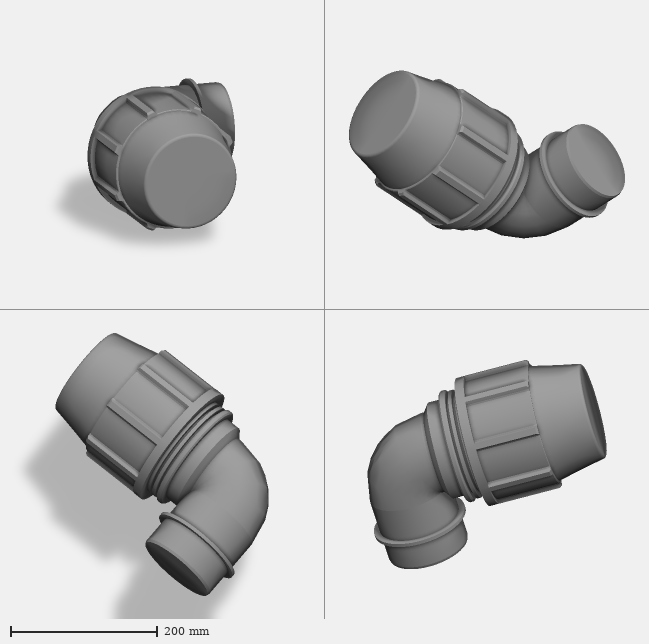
import cadquery as cq
import math

OVERALL_LENGTH = 341.0
FLANGE_DIAMETER = 181.0
OVERALL_WIDTH = 230.5

TUBE_RADIUS = 113.0 / 2
SPIGOT_TIP_RADIUS = 110.0 / 2
SPIGOT_CHAMFER_LENGTH = 3.8
COLLAR_RADIUS = 130.0 / 2
COLLAR_START = 93.5
COLLAR_THICKNESS = 4.8
BEND_RADIUS = 45.5
SPIGOT_END = OVERALL_WIDTH - FLANGE_DIAMETER / 2
COUPLING_END = OVERALL_LENGTH - COLLAR_RADIUS

BODY_RADIUS = 135.7 / 2
SHOULDER_START = 49.8
SHOULDER_END = 58.3
STOP_RING_START = 77.5
STOP_RING_THICKNESS = 9.2
STOP_RING_RADIUS = 157.5 / 2
STOP_RING_CHAMFER = 2.0
THREAD_RING_RADIUS = 152.8 / 2
THREAD_RING_THICKNESS = 4.8
THREAD_RING_STARTS = (90.7, 100.0)

FLANGE_START = 104.5
FLANGE_END = 117.3
GRIP_END = 206.5
GRIP_RADIUS = 84.2
GRIP_CHAMFER = 1.0
SLEEVE_START_RADIUS = 81.0
SLEEVE_MIDDLE_RADIUS = 73.3
SLEEVE_END_RADIUS = 66.5
SLEEVE_FILLET = 4.0

RIB_COUNT = 8
RIB_OUTER_RADIUS = FLANGE_DIAMETER / 2
RIB_TOP_WIDTH = 9.0
RIB_FOOT_RADIUS = 85.5
RIB_FOOT_WIDTH = 12.5
RIB_BASE_WIDTH = 15.7
RIB_ROOT_RADIUS = 75.0
RIB_CHAMFER = 2.7


def disc_x(radius, start, end):
    """Solid cylinder along X."""
    return cq.Workplane("YZ").workplane(offset=start).circle(radius).extrude(end - start)


def disc_y(radius, start, end):
    """Solid cylinder along Y."""
    return cq.Workplane("XZ", origin=(0, start, 0)).circle(radius).extrude(start - end)


def make_spigot():
    tip_start = SPIGOT_END - SPIGOT_CHAMFER_LENGTH
    profile = (
        cq.Workplane("XY")
        .moveTo(0, BEND_RADIUS)
        .lineTo(TUBE_RADIUS, BEND_RADIUS)
        .lineTo(TUBE_RADIUS, tip_start)
        .lineTo(SPIGOT_TIP_RADIUS, SPIGOT_END)
        .lineTo(0, SPIGOT_END)
        .close()
    )
    spigot = profile.revolve(360, (0, 0, 0), (0, 1, 0))
    return spigot.union(disc_y(COLLAR_RADIUS, COLLAR_START, COLLAR_START + COLLAR_THICKNESS))


def make_bend():
    """Quarter turn of the tube section, cut off where it would cross the bend axis."""
    half_chord = math.sqrt(TUBE_RADIUS**2 - BEND_RADIUS**2)
    section = (
        cq.Workplane("XZ", origin=(0, BEND_RADIUS, 0))
        .moveTo(BEND_RADIUS, -half_chord)
        .lineTo(BEND_RADIUS, half_chord)
        .threePointArc((-TUBE_RADIUS, 0), (BEND_RADIUS, -half_chord))
        .close()
    )
    return section.revolve(90, (BEND_RADIUS, 0, 0), (BEND_RADIUS, 1, 0))


def make_body():
    profile = (
        cq.Workplane("XY")
        .moveTo(BEND_RADIUS, 0)
        .lineTo(BEND_RADIUS, TUBE_RADIUS)
        .lineTo(SHOULDER_START, TUBE_RADIUS)
        .lineTo(SHOULDER_END, BODY_RADIUS)
        .lineTo(FLANGE_START, BODY_RADIUS)
        .lineTo(FLANGE_START, 0)
        .close()
    )
    body = profile.revolve(360, (0, 0, 0), (1, 0, 0))
    stop_ring = disc_x(STOP_RING_RADIUS, STOP_RING_START, STOP_RING_START + STOP_RING_THICKNESS)
    body = body.union(stop_ring.edges().chamfer(STOP_RING_CHAMFER))
    for start in THREAD_RING_STARTS:
        body = body.union(disc_x(THREAD_RING_RADIUS, start, start + THREAD_RING_THICKNESS))
    return body


def make_sleeve():
    """Slightly curved taper with a rounded outer end."""
    profile = (
        cq.Workplane("XY")
        .moveTo(GRIP_END, 0)
        .lineTo(GRIP_END, SLEEVE_START_RADIUS)
        .threePointArc(
            ((GRIP_END + COUPLING_END) / 2, SLEEVE_MIDDLE_RADIUS),
            (COUPLING_END, SLEEVE_END_RADIUS),
        )
        .lineTo(COUPLING_END, 0)
        .close()
    )
    sleeve = profile.revolve(360, (0, 0, 0), (1, 0, 0))
    return sleeve.faces(">X").edges().fillet(SLEEVE_FILLET)


def make_rib():
    """Tapered rib with a flared foot, pointing along Z."""
    half_top = RIB_TOP_WIDTH / 2
    half_foot = RIB_FOOT_WIDTH / 2
    half_base = RIB_BASE_WIDTH / 2
    base_height = math.sqrt(GRIP_RADIUS**2 - half_base**2)
    rib = (
        cq.Workplane("YZ", origin=(FLANGE_END, 0, 0))
        .polyline([
            (-half_base, RIB_ROOT_RADIUS),
            (-half_base, base_height),
            (-half_foot, RIB_FOOT_RADIUS),
            (-half_top, RIB_OUTER_RADIUS),
            (half_top, RIB_OUTER_RADIUS),
            (half_foot, RIB_FOOT_RADIUS),
            (half_base, base_height),
            (half_base, RIB_ROOT_RADIUS),
        ])
        .close()
        .extrude(GRIP_END - FLANGE_END)
    )
    return rib.faces(">Z").edges(">X").chamfer(RIB_CHAMFER)


def make_nut():
    grip = disc_x(GRIP_RADIUS, FLANGE_END, GRIP_END)
    grip = grip.faces(">X").edges().chamfer(GRIP_CHAMFER)
    nut = disc_x(FLANGE_DIAMETER / 2, FLANGE_START, FLANGE_END).union(grip)
    rib = make_rib()
    rib_pitch = 360 / RIB_COUNT
    for index in range(RIB_COUNT):
        rib_angle = (index + 0.5) * rib_pitch
        nut = nut.union(rib.rotate((0, 0, 0), (1, 0, 0), rib_angle))
    return nut.union(make_sleeve())


result = make_bend().union(make_spigot()).union(make_body()).union(make_nut())